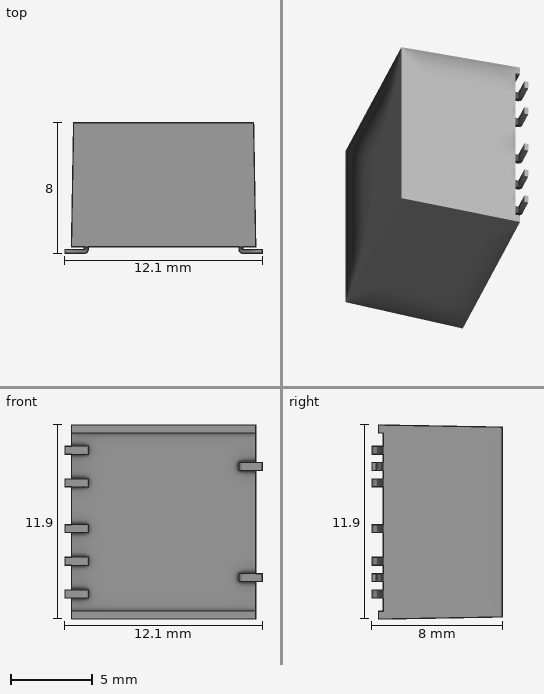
import cadquery as cq
import math

overall_depth = 8.0
front_width = 11.3
front_height = 11.9
housing_depth = 7.6
draft_angle = 1.0
draft_inset = housing_depth * math.tan(math.radians(draft_angle))
back_width = front_width - 2 * draft_inset
back_height = front_height - 2 * draft_inset

rail_height = 0.5
rail_depth = 0.3

lead_span = 12.1
lead_foot_length = 1.44
lead_thickness = 0.25
lead_height = 0.5
lead_bend_radius = 0.25
left_lead_levels = (4.4, 2.4, -0.4, -2.4, -4.4)
right_lead_levels = (3.4, -3.4)

back_y = overall_depth / 2
front_y = back_y - housing_depth
recess_y = front_y + rail_depth
foot_y = -overall_depth / 2


def make_housing():
    """Tapered block with a full-width recess between the two rails."""
    block = (
        cq.Workplane("XZ", origin=(0, front_y, 0))
        .rect(front_width, front_height)
        .workplane(offset=-housing_depth)
        .rect(back_width, back_height)
        .loft(ruled=True)
    )
    recess = cq.Workplane("XY").box(
        front_width,
        rail_depth,
        front_height - 2 * rail_height,
    )
    return block.cut(recess.translate((0, front_y + rail_depth / 2, 0)))


def make_lead(side, level):
    """Lead leaving the recess floor and bending outward; side is -1 for left, +1 for right."""
    tip_x = side * lead_span / 2
    inner_x = tip_x - side * lead_foot_length
    leg_outer_x = inner_x + side * lead_thickness
    foot_back_y = foot_y + lead_thickness
    bend_end = (inner_x + side * lead_bend_radius, foot_y)
    bend_start = (inner_x, foot_y + lead_bend_radius)
    profile = (
        cq.Workplane("XY", origin=(0, 0, level))
        .moveTo(tip_x, foot_y)
        .lineTo(tip_x, foot_back_y)
        .lineTo(leg_outer_x, foot_back_y)
        .lineTo(leg_outer_x, recess_y)
        .lineTo(inner_x, recess_y)
        .lineTo(*bend_start)
        .radiusArc(bend_end, -side * lead_bend_radius)
        .close()
    )
    return profile.extrude(lead_height / 2, both=True)


result = make_housing()
for lead_level in left_lead_levels:
    result = result.union(make_lead(-1, lead_level))
for lead_level in right_lead_levels:
    result = result.union(make_lead(1, lead_level))